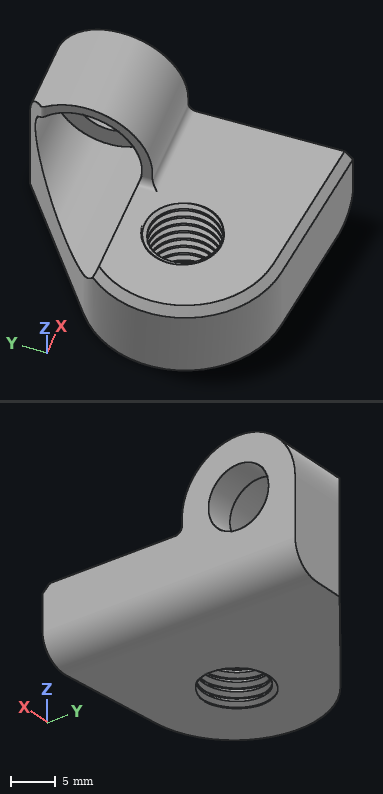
import cadquery as cq
import math

total_x = 29.5
total_y = 35.75
total_z = 20.0

nose_radius = 12.0
plate_thickness = 10.0
edge_chamfer = 1.0
underside_radius = 4.0
back_y = 21.9
back_edge_length = 8.25
front_y = back_y - total_y
right_x = total_x - nose_radius

barrel_radius = 8.0
barrel_length = 12.0
blend_radius = 1.0
barrel_x = right_x - barrel_length
barrel_y = back_y - barrel_radius
barrel_z = total_z - barrel_radius

bore_radius = 4.25
counterbore_radius = 6.75
counterbore_depth = 8.0

thread_pitch = 1.25
thread_major_radius = 5.0
thread_depth = 5 / 8 * thread_pitch * math.sqrt(3) / 2
thread_minor_radius = thread_major_radius - thread_depth
thread_runout_angle = 160.0


def tangent_point(x, y, side):
    """Point where a line from (x, y) touches the nose circle; side is +1 or -1."""
    angle = math.atan2(y, x) + side * math.acos(nose_radius / math.hypot(x, y))
    return nose_radius * math.cos(angle), nose_radius * math.sin(angle)


def outline_prism(height):
    """Plan outline of the part, raised from the underside."""
    slant_end = (right_x - back_edge_length, back_y)
    front_corner = (right_x, front_y)
    return (
        cq.Workplane("XY")
        .moveTo(*front_corner)
        .lineTo(right_x, back_y)
        .lineTo(*slant_end)
        .lineTo(*tangent_point(*slant_end, 1))
        .threePointArc((-nose_radius, 0), tangent_point(*front_corner, -1))
        .close()
        .extrude(height)
    )


def base_plate():
    plate = outline_prism(plate_thickness)
    nose_x, nose_y = tangent_point(right_x, front_y, -1)
    front_middle = ((right_x + nose_x) / 2, (front_y + nose_y) / 2, plate_thickness)
    nose_edge = cq.selectors.NearestToPointSelector((-nose_radius, 0, plate_thickness))
    front_edge = cq.selectors.NearestToPointSelector(front_middle)
    return plate.edges(">Z").edges(nose_edge + front_edge).chamfer(edge_chamfer)


def barrel_block():
    """Round-topped block, trimmed by the slanted side of the outline."""
    block = (
        cq.Workplane("YZ", origin=(barrel_x, 0, 0))
        .moveTo(back_y, 0)
        .lineTo(back_y, barrel_z)
        .threePointArc((barrel_y, total_z), (barrel_y - barrel_radius, barrel_z))
        .lineTo(barrel_y - barrel_radius, 0)
        .close()
        .extrude(barrel_length)
    )
    return block.intersect(outline_prism(total_z))


def cylinder_along_x(radius, start_x, end_x):
    return (
        cq.Workplane("YZ", origin=(start_x, 0, 0))
        .center(barrel_y, barrel_z)
        .circle(radius)
        .extrude(end_x - start_x)
    )


def thread_groove():
    """Helical groove of trapezoid section, running past both plate faces."""
    overlap = 0.1
    flank_slope = math.tan(math.radians(30))
    root_half = thread_pitch / 16
    mouth_half = root_half + (thread_depth + overlap) * flank_slope
    mouth_radius = thread_minor_radius - overlap
    helix_height = plate_thickness + 3 * thread_pitch
    helix = cq.Wire.makeHelix(thread_pitch, helix_height, thread_minor_radius)
    groove = (
        cq.Workplane("XZ")
        .polyline([
            (mouth_radius, -mouth_half),
            (thread_major_radius, -root_half),
            (thread_major_radius, root_half),
            (mouth_radius, mouth_half),
        ])
        .close()
        .sweep(cq.Workplane(obj=helix), isFrenet=True)
    )
    return groove.translate((0, 0, plate_thickness - 9 * thread_pitch))


body = base_plate().union(barrel_block())

blend_side = cq.selectors.NearestToPointSelector(
    ((barrel_x + right_x) / 2, barrel_y - barrel_radius, plate_thickness)
)
blend_end = cq.selectors.NearestToPointSelector((barrel_x, barrel_y, plate_thickness))
body = body.edges(blend_side + blend_end).fillet(blend_radius)

slant_edge = cq.selectors.NearestToPointSelector((barrel_x, back_y, barrel_z))
body = body.edges("|Z").edges(slant_edge).fillet(blend_radius)

body = body.faces("<Z").edges(">X").fillet(underside_radius)

body = body.cut(cylinder_along_x(counterbore_radius, -nose_radius, barrel_x + counterbore_depth))
body = body.cut(cylinder_along_x(bore_radius, barrel_x, right_x))

core = cq.Workplane("XY").circle(thread_minor_radius).extrude(plate_thickness)
body = body.cut(thread_groove().rotate((0, 0, 0), (0, 0, 1), thread_runout_angle))
result = body.cut(core.rotate((0, 0, 0), (0, 0, 1), thread_runout_angle))